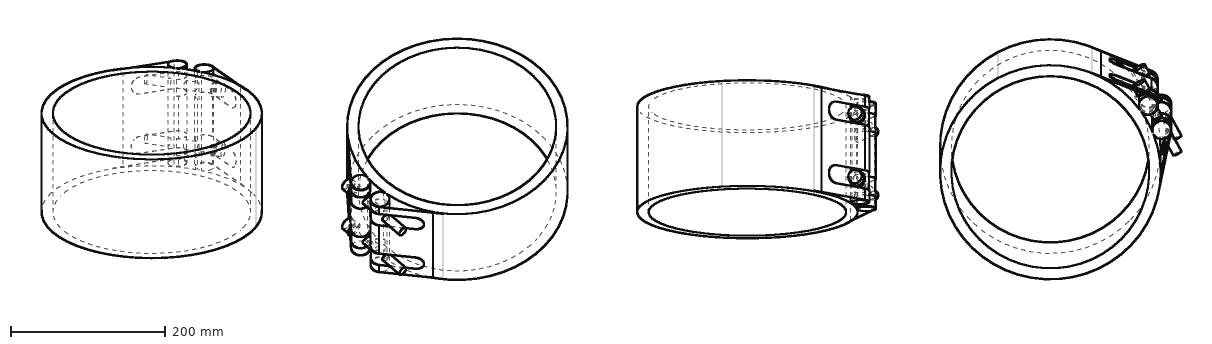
import cadquery as cq
import math

ring_diameter = 285.8
bore_diameter = 256.0
height = 141.0

pin_diameter = 24.0
pin_x = 18.5
pin_y = 153.7

strap_thickness = 0.5
strap_edge_inset = 1.0
slot_width = pin_diameter
slot_end_from_tangent = 24.7

bolt_offset_z = 42.5
shank_diameter = 12.0
shank_end_x = -61.5
washer_diameter = 20.0
washer_thickness = 1.5
head_diameter = 18.0
head_length = 12.5

ring_radius = ring_diameter / 2
pin_radius = pin_diameter / 2
wrap_radius = pin_radius + strap_thickness
bolt_heights = (-bolt_offset_z, bolt_offset_z)

pin_distance = math.hypot(pin_x, pin_y)
pin_angle = math.atan2(pin_y, -pin_x)
normal_angle = pin_angle + math.acos((ring_radius - wrap_radius) / pin_distance)
wrap_end_angle = pin_angle - math.pi
wrap_mid_angle = (normal_angle + wrap_end_angle) / 2


def polar(radius, angle, center=(0, 0)):
    return (center[0] + radius * math.cos(angle), center[1] + radius * math.sin(angle))


def upright_cylinder(diameter, x=0, y=0):
    return cq.Workplane("XY", origin=(x, y, -height / 2)).circle(diameter / 2).extrude(height)


def rod(diameter, start_x, end_x, z):
    return (
        cq.Workplane("YZ", origin=(start_x, pin_y, z))
        .circle(diameter / 2)
        .extrude(end_x - start_x)
    )


def strap_slots():
    """Round-ended cutters through the left strap, open past the far side of its wrap."""
    tangent_point = polar(ring_radius, normal_angle)
    along_strap = (math.sin(normal_angle), -math.cos(normal_angle), 0)
    normal = (math.cos(normal_angle), math.sin(normal_angle), 0)
    plane = cq.Plane(origin=(*tangent_point, 0), xDir=along_strap, normal=normal)
    round_center = slot_end_from_tangent + slot_width / 2
    tangent_length = math.sqrt(pin_distance**2 - (ring_radius - wrap_radius) ** 2)
    open_end = tangent_length + 2 * wrap_radius
    depth = 3 * wrap_radius
    half = slot_width / 2
    cutters = cq.Workplane(plane)
    for z in bolt_heights:
        cutters = (
            cutters.moveTo(open_end, z - half)
            .lineTo(round_center, z - half)
            .threePointArc((round_center - half, z), (round_center, z + half))
            .lineTo(open_end, z + half)
            .close()
        )
    return cutters.extrude(depth, both=True)


def left_strap():
    pin_center = (-pin_x, pin_y)
    strap_width = height - 2 * strap_edge_inset
    band = (
        cq.Workplane("XY", origin=(0, 0, -strap_width / 2))
        .moveTo(*polar(ring_radius, normal_angle))
        .lineTo(*polar(wrap_radius, normal_angle, pin_center))
        .threePointArc(
            polar(wrap_radius, wrap_mid_angle, pin_center),
            polar(wrap_radius, wrap_end_angle, pin_center),
        )
        .lineTo(*polar(pin_radius, wrap_end_angle, pin_center))
        .threePointArc(
            polar(pin_radius, wrap_mid_angle, pin_center),
            polar(pin_radius, normal_angle, pin_center),
        )
        .lineTo(*polar(ring_radius - strap_thickness, normal_angle))
        .close()
        .extrude(strap_width)
    )
    return band.cut(strap_slots())


def bolt(z):
    washer_start = pin_x + pin_radius
    head_start = washer_start + washer_thickness
    shank = rod(shank_diameter, shank_end_x, head_start, z)
    washer = rod(washer_diameter, washer_start, head_start, z)
    head = rod(head_diameter, head_start, head_start + head_length, z)
    return shank.union(washer).union(head)


strap = left_strap()
result = upright_cylinder(ring_diameter).union(strap).union(strap.mirror("YZ"))
result = result.cut(upright_cylinder(bore_diameter))

for x in (-pin_x, pin_x):
    result = result.union(upright_cylinder(pin_diameter, x, pin_y))

for bolt_z in bolt_heights:
    result = result.union(bolt(bolt_z))